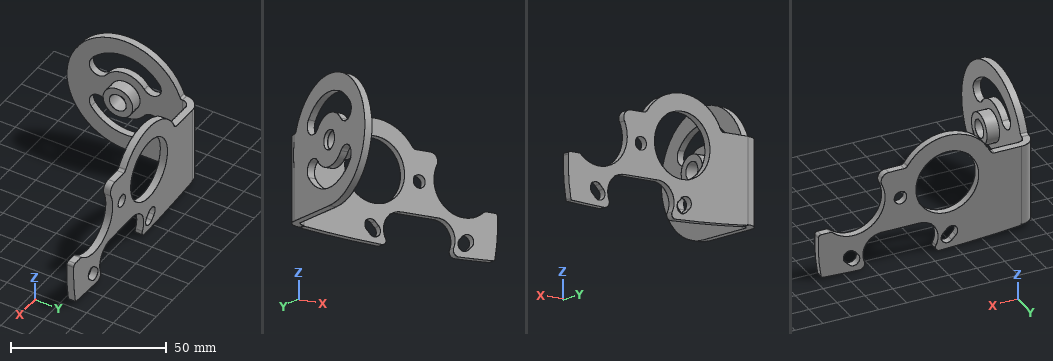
import cadquery as cq
import math

sheet = 2.7
bend_inner_radius = 2.7
bend_radius = bend_inner_radius + sheet
total_length = 78.12
cos_45 = math.sqrt(0.5)

disc_radius = 22.0
back_y = 27.0
bend_y = back_y - bend_radius
tab_top_z = 7.0
tab_corner_fillet = 1.0

slot_end_y = 10.0
slot_end_z = 7.5
slot_path_radius = math.hypot(slot_end_y, slot_end_z)
slot_width = 7.0

bushing_radius = 5.6
bushing_length = 4.5
bore_radius = 3.15
entry_radius = 3.3
entry_depth = 1.4

plate_middle_x = 48.65
ring_offset = 16.75
ring_x = plate_middle_x - ring_offset
cradle_x = plate_middle_x + ring_offset
ring_z = 0.47
ring_hole_radius = 11.2
ring_outer_radius = 17.2
cradle_radius = ring_hole_radius
pin_hole_radius = 2.2
pin_hole_z = -1.06
shoulder_z = 9.4
arm_top_z = -7.5
arm_end_radius = total_length
arm_end_z = -11.0
plate_bottom_z = -24.33
bottom_arc_radius = 450.0

notch_top_z = -12.2
notch_radius = 6.6
notch_half_width = 13.4
notch_centre_z = notch_top_z - notch_radius
notch_flat = notch_half_width - notch_radius
notch_overrun = 1.0
slant_slot_offset = 17.5
slant_slot_z = -19.0
slant_slot_width = 4.4
slant_slot_travel = 2.0
slant_slot_angle = 45.0

ring_fillet = 1.4
shoulder_fillet = 2.8
arm_top_fillet = 1.0
arm_bottom_fillet = 0.6
left_lip_fillet = 1.5
right_lip_fillet = 2.0


def half_chord(radius, distance):
    """Half the chord of a circle at the given distance from its centre."""
    return math.sqrt(radius**2 - distance**2)


def plate_bottom(x):
    """Height of the long shallow arc under the plate."""
    sag = bottom_arc_radius - half_chord(bottom_arc_radius, x - plate_middle_x)
    return plate_bottom_z + sag


def arm_end(z):
    """X position of the gently curved end of the arm."""
    return total_length - arm_end_radius + half_chord(arm_end_radius, z - arm_end_z)


tab_corner_y = half_chord(disc_radius, tab_top_z)
ring_left_x = ring_x - half_chord(ring_outer_radius, tab_top_z - ring_z)
ring_right_x = ring_x + half_chord(ring_outer_radius, shoulder_z - ring_z)
cradle_left_x = cradle_x - half_chord(cradle_radius, shoulder_z - ring_z)
cradle_right_x = cradle_x + half_chord(cradle_radius, arm_top_z - ring_z)
arm_top_x = arm_end(arm_top_z)
arm_bottom_x = arm_end(plate_bottom_z)
arm_bottom_z = plate_bottom(arm_bottom_x)
lip_offset = notch_flat + half_chord(notch_radius, notch_centre_z - plate_bottom_z)


def disc_sketch(x=0):
    """Workplane square to the disc axis; extrudes along +X."""
    return cq.Workplane("YZ", origin=(x, 0, 0))


def plate_sketch():
    """Workplane on the back face of the plate; extrudes towards -Y, through the sheet."""
    return cq.Workplane("XZ", origin=(0, back_y, 0))


def round_corner(body, point, radius):
    """Fillet the edge nearest to the given point."""
    return body.edges(cq.selectors.NearestToPointSelector(point)).fillet(radius)


def curved_slot(side):
    """Arc slot about the disc axis, above it for side = 1 and below it for side = -1."""
    end_radius = slot_width / 2
    inner = slot_path_radius - end_radius
    outer = slot_path_radius + end_radius
    cos_end = slot_end_y / slot_path_radius
    sin_end = slot_end_z / slot_path_radius
    inner_y = inner * cos_end
    inner_z = side * inner * sin_end
    outer_y = outer * cos_end
    outer_z = side * outer * sin_end
    tip_y = slot_end_y + end_radius * sin_end
    tip_z = side * (slot_end_z - end_radius * cos_end)
    return (
        disc_sketch()
        .moveTo(outer_y, outer_z)
        .threePointArc((0, side * outer), (-outer_y, outer_z))
        .threePointArc((-tip_y, tip_z), (-inner_y, inner_z))
        .threePointArc((0, side * inner), (inner_y, inner_z))
        .threePointArc((tip_y, tip_z), (outer_y, outer_z))
        .close()
        .extrude(sheet)
    )


def disc_flange():
    """Round disc with a tab that runs to the bend, and its two curved slots."""
    tab = (
        disc_sketch()
        .moveTo(0, -disc_radius)
        .lineTo(bend_y, -disc_radius)
        .lineTo(bend_y, tab_top_z)
        .lineTo(0, tab_top_z)
        .close()
        .extrude(sheet)
    )
    flange = disc_sketch().circle(disc_radius).extrude(sheet).union(tab)
    flange = round_corner(flange, (sheet / 2, tab_corner_y, tab_top_z), tab_corner_fillet)
    for side in (-1, 1):
        flange = flange.cut(curved_slot(side))
    return flange


def bend():
    """Quarter-round bend that joins the disc flange to the plate."""
    outer_mid = bend_radius * cos_45
    inner_mid = bend_inner_radius * cos_45
    return (
        cq.Workplane("XY", origin=(bend_radius, bend_y, -disc_radius))
        .moveTo(-bend_radius, 0)
        .threePointArc((-outer_mid, outer_mid), (0, bend_radius))
        .lineTo(0, bend_inner_radius)
        .threePointArc((-inner_mid, inner_mid), (-bend_inner_radius, 0))
        .close()
        .extrude(disc_radius + tab_top_z)
    )


def plate_blank():
    """Plate outline with sharp corners, without the notch and holes."""
    cradle_mid = cradle_radius * cos_45
    return (
        plate_sketch()
        .moveTo(bend_radius, tab_top_z)
        .lineTo(ring_left_x, tab_top_z)
        .threePointArc((ring_x, ring_z + ring_outer_radius), (ring_right_x, shoulder_z))
        .lineTo(cradle_left_x, shoulder_z)
        .threePointArc((cradle_x - cradle_mid, ring_z - cradle_mid), (cradle_right_x, arm_top_z))
        .lineTo(arm_top_x, arm_top_z)
        .threePointArc((total_length, arm_end_z), (arm_bottom_x, arm_bottom_z))
        .threePointArc((plate_middle_x, plate_bottom_z), (bend_radius, plate_bottom(bend_radius)))
        .close()
        .extrude(sheet)
    )


def notch():
    """Two round ends joined along a flat top and open at the bottom."""
    end_centres = [(plate_middle_x + side * notch_flat, notch_centre_z) for side in (-1, 1)]
    ends = plate_sketch().pushPoints(end_centres).circle(notch_radius).extrude(sheet)
    depth = notch_top_z - plate_bottom_z + notch_overrun
    middle = (
        plate_sketch()
        .center(plate_middle_x, notch_top_z - depth / 2)
        .rect(2 * notch_flat, depth)
        .extrude(sheet)
    )
    return ends.union(middle)


def round_plate_hole(x, z, radius):
    """Cutter for a round hole through the plate."""
    return plate_sketch().center(x, z).circle(radius).extrude(sheet)


def slanted_slot(side):
    """Cutter for a slot beside the notch; the two slots mirror each other."""
    return (
        plate_sketch()
        .center(plate_middle_x + side * slant_slot_offset, slant_slot_z)
        .slot2D(slant_slot_travel + slant_slot_width, slant_slot_width, side * slant_slot_angle)
        .extrude(sheet)
    )


def bracket_plate():
    """Plate with its openings and rounded corners."""
    plate = plate_blank().cut(notch())
    plate = plate.cut(round_plate_hole(ring_x, ring_z, ring_hole_radius))
    plate = plate.cut(round_plate_hole(plate_middle_x, pin_hole_z, pin_hole_radius))
    for side in (-1, 1):
        plate = plate.cut(slanted_slot(side))

    corners = [
        (ring_left_x, tab_top_z, ring_fillet),
        (ring_right_x, shoulder_z, ring_fillet),
        (cradle_left_x, shoulder_z, shoulder_fillet),
        (cradle_right_x, arm_top_z, arm_top_fillet),
        (arm_top_x, arm_top_z, arm_top_fillet),
        (arm_bottom_x, arm_bottom_z, arm_bottom_fillet),
        (plate_middle_x - lip_offset, plate_bottom_z, left_lip_fillet),
        (plate_middle_x + lip_offset, plate_bottom_z, right_lip_fillet),
    ]
    for x, z, radius in corners:
        plate = round_corner(plate, (x, back_y - sheet / 2, z), radius)
    return plate


bushing = disc_sketch(sheet).circle(bushing_radius).extrude(bushing_length)
bore = disc_sketch().circle(bore_radius).extrude(sheet + bushing_length)
bore_entry = disc_sketch().circle(entry_radius).extrude(entry_depth)

bracket = disc_flange().union(bend()).union(bracket_plate()).union(bushing)
result = bracket.cut(bore).cut(bore_entry)